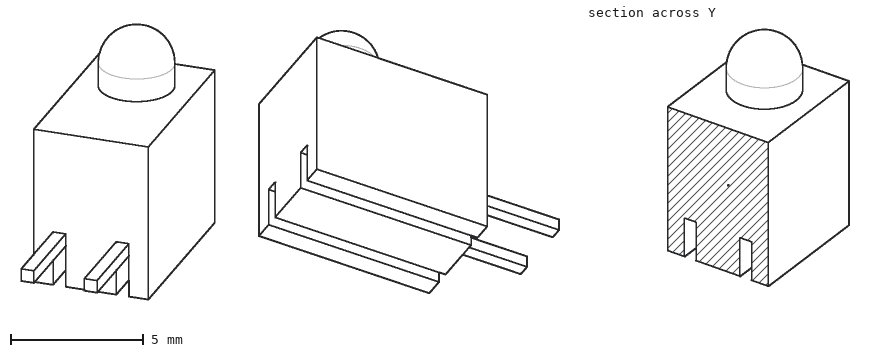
import cadquery as cq
import math

housing_width = 4.6
housing_depth = 7.3
housing_height = 6.35

overall_height = 8.75
lens_radius = 1.45
lens_setback = 2.3
lens_y = housing_depth - lens_setback
lens_cylinder_height = overall_height - lens_radius - housing_height

overall_length = 10.8
lead_size = 0.51
lead_pitch = 2.54
lead_underside = 1.7
lead_reach = overall_length - housing_depth
lead_positions = [-lead_pitch / 2, lead_pitch / 2]


def make_housing():
    """Plain rectangular block standing on Z = 0."""
    return cq.Workplane("XY").box(
        housing_width, housing_depth, housing_height, centered=(True, False, False)
    )


def make_lens():
    """Short cylinder capped by a hemisphere, revolved about its own axis."""
    shoulder_z = housing_height + lens_cylinder_height
    arc_offset = lens_radius / math.sqrt(2)
    return (
        cq.Workplane("XZ", origin=(0, lens_y, 0))
        .moveTo(0, housing_height)
        .lineTo(lens_radius, housing_height)
        .lineTo(lens_radius, shoulder_z)
        .threePointArc((arc_offset, shoulder_z + arc_offset), (0, overall_height))
        .close()
        .revolve(360, (0, 0, 0), (0, 1, 0))
    )


def make_slot(x):
    """Open slot below a lead, passing through the housing from front to rear."""
    return (
        cq.Workplane("XY")
        .box(lead_size, housing_depth, lead_underside, centered=(True, False, False))
        .translate((x, 0, 0))
    )


def make_lead(x):
    """Straight square lead standing out from the front face."""
    return (
        cq.Workplane("XY")
        .box(lead_size, lead_reach, lead_size, centered=(True, False, False))
        .translate((x, -lead_reach, lead_underside))
    )


result = make_housing().union(make_lens())
for lead_x in lead_positions:
    result = result.cut(make_slot(lead_x)).union(make_lead(lead_x))